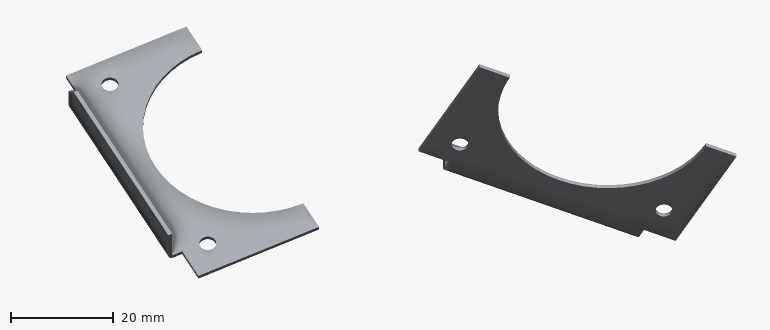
import cadquery as cq

thickness = 0.8128
inner_bend_radius = 0.4064
outer_bend_radius = inner_bend_radius + thickness

overall_width = 55.88
overall_depth = 29.41
overall_height = 7.62

plate_front = 3.02
flange_width = 42.16
flange_chamfer = 2.286

cutout_radius = 21.345

hole_diameter = 3.3
left_hole_side_margin = 5.842
left_hole_y = 9.62
right_hole_side_margin = 6.35
right_hole_y = 8.35
hole_centres = [
    (-overall_width / 2 + left_hole_side_margin, left_hole_y),
    (overall_width / 2 - right_hole_side_margin, right_hole_y),
]


def make_plate():
    """Flat rectangular plate behind the bent flange."""
    plate_depth = overall_depth - plate_front
    return cq.Workplane("XY").box(
        overall_width, plate_depth, thickness, centered=(True, False, False)
    ).translate((0, plate_front, 0))


def make_flange():
    """L-shaped bent strip along the front edge, with its upper left corner cut off."""
    sharp_profile = (
        cq.Workplane("YZ")
        .moveTo(plate_front, 0)
        .lineTo(0, 0)
        .lineTo(0, overall_height)
        .lineTo(thickness, overall_height)
        .lineTo(thickness, thickness)
        .lineTo(plate_front, thickness)
        .close()
    )
    strip = sharp_profile.extrude(flange_width / 2, both=True)
    strip = strip.edges("|X and <Y and <Z").fillet(outer_bend_radius)
    inner_corner = cq.selectors.NearestToPointSelector((0, thickness, thickness))
    strip = strip.edges(inner_corner).fillet(inner_bend_radius)
    return strip.edges("|Y and >Z and <X").chamfer(flange_chamfer)


def make_vertical_cutter(centre, radius):
    """Upright cylinder passing through the plate thickness."""
    return cq.Workplane("XY").center(*centre).circle(radius).extrude(thickness)


result = make_plate().union(make_flange())
result = result.cut(make_vertical_cutter((0, overall_depth), cutout_radius))
for hole_centre in hole_centres:
    result = result.cut(make_vertical_cutter(hole_centre, hole_diameter / 2))